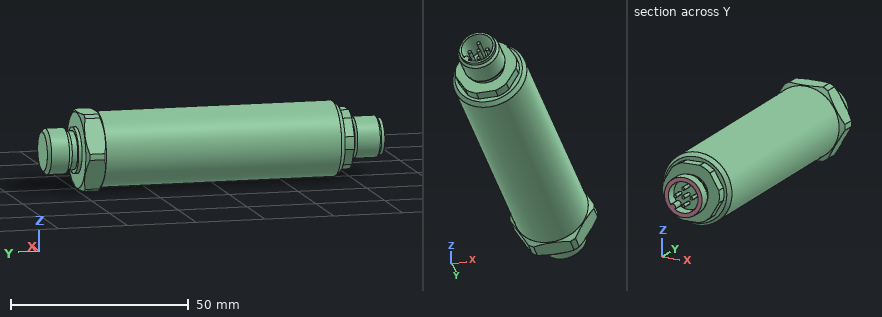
import cadquery as cq
import math

total_length = 98.3
front_end = -total_length / 2
back_end = total_length / 2

body_diameter = 21.6
body_chamfer = 1.0
body_chamfer_length = 1.3
port_hex_flats = 22.0
port_hex_corners = 24.5
port_hex_length = 6.0
hex_bevel_angle = 30.0
plug_hex_flats = 17.0
plug_hex_corners = 17.9
plug_hex_length = 2.9

port_diameter = 13.2
port_neck_diameter = 11.0
port_chamfer = 1.0
port_thread_length = 7.3
port_neck_length = 1.6
collar_length = 1.0

plug_diameter = 12.0
nose_diameter = 10.5
nose_length = 1.0
plug_neck_diameter = 10.8
plug_front_bevel = 0.6
plug_back_bevel = 0.6
plug_thread_end = 8.7
plug_length = 9.8

socket_diameter = 9.1
socket_depth = 8.4
pin_diameter = 1.0
pin_circle_radius = 2.6
pin_recess = 1.5
key_radius = 0.9
key_angle = 225.0

plug_hex_front = front_end + plug_length
body_front = plug_hex_front + plug_hex_length
port_hex_back = back_end - port_thread_length - port_neck_length - collar_length
port_hex_front = port_hex_back - port_hex_length
socket_floor = front_end + socket_depth


def revolve_profile(points):
    """Turn a (radius, y) outline, closed along the Y axis, into a solid."""
    outline = [(0, points[0][1])] + points + [(0, points[-1][1])]
    return cq.Workplane("XY").polyline(outline).close().revolve(360, (0, 0), (0, 1))


def rod(diameter, y_start, y_end, x=0, z=0):
    """Cylinder parallel to Y."""
    plane = cq.Plane(origin=(x, y_start, z), xDir=(1, 0, 0), normal=(0, 1, 0))
    return cq.Workplane(plane).circle(diameter / 2).extrude(y_end - y_start)


def hexagon(flats, y_start, y_end):
    """Hexagonal prism along Y with flats at the top and bottom."""
    plane = cq.Plane(origin=(0, y_start, 0), xDir=(1, 0, 0), normal=(0, 1, 0))
    sharp_corners = flats / math.cos(math.radians(30))
    return cq.Workplane(plane).polygon(6, sharp_corners).extrude(y_end - y_start)


def make_body():
    radius = body_diameter / 2
    return revolve_profile([
        (radius - body_chamfer, body_front),
        (radius, body_front + body_chamfer_length),
        (radius, port_hex_front),
    ])


def make_port_hex():
    """Hexagon with rounded corners, bevelled on both faces."""
    corner_radius = port_hex_corners / 2
    face_radius = body_diameter / 2
    bevel_length = (corner_radius - face_radius) * math.tan(math.radians(hex_bevel_angle))
    envelope = revolve_profile([
        (face_radius, port_hex_front),
        (corner_radius, port_hex_front + bevel_length),
        (corner_radius, port_hex_back - bevel_length),
        (face_radius, port_hex_back),
    ])
    return hexagon(port_hex_flats, port_hex_front, port_hex_back).intersect(envelope)


def make_plug_hex():
    envelope = rod(plug_hex_corners, plug_hex_front, body_front)
    return hexagon(plug_hex_flats, plug_hex_front, body_front).intersect(envelope)


def make_port():
    radius = port_diameter / 2
    neck_radius = port_neck_diameter / 2
    thread_front = back_end - port_thread_length
    runout = radius - neck_radius
    collar_back = port_hex_back + collar_length
    return revolve_profile([
        (radius, port_hex_back),
        (radius, collar_back),
        (neck_radius, collar_back),
        (neck_radius, thread_front),
        (radius, thread_front + runout),
        (radius, back_end - port_chamfer),
        (radius - port_chamfer, back_end),
    ])


def make_plug():
    radius = plug_diameter / 2
    nose_radius = nose_diameter / 2
    neck_radius = plug_neck_diameter / 2
    nose_back = front_end + nose_length
    thread_back = front_end + plug_thread_end
    return revolve_profile([
        (nose_radius, front_end),
        (nose_radius, nose_back),
        (radius, nose_back + plug_front_bevel),
        (radius, thread_back - plug_back_bevel),
        (neck_radius, thread_back),
        (neck_radius, plug_hex_front),
    ])


def make_pins():
    """One central contact pin and four around it."""
    pin_front = front_end + pin_recess
    pins = rod(pin_diameter, pin_front, socket_floor)
    for index in range(4):
        angle = math.radians(90 * index)
        x = pin_circle_radius * math.cos(angle)
        z = pin_circle_radius * math.sin(angle)
        pins = pins.add(rod(pin_diameter, pin_front, socket_floor, x, z))
    return pins.combine()


def make_key():
    """Half-round polarising rib on the socket wall, flush with the rim."""
    angle = math.radians(key_angle)
    x = socket_diameter / 2 * math.cos(angle)
    z = socket_diameter / 2 * math.sin(angle)
    rib = rod(2 * key_radius, front_end, socket_floor, x, z)
    return rib.intersect(rod(nose_diameter, front_end, socket_floor))


result = make_body().union(make_port_hex()).union(make_port())
result = result.union(make_plug_hex()).union(make_plug())
result = result.cut(rod(socket_diameter, front_end, socket_floor))
result = result.union(make_pins()).union(make_key())